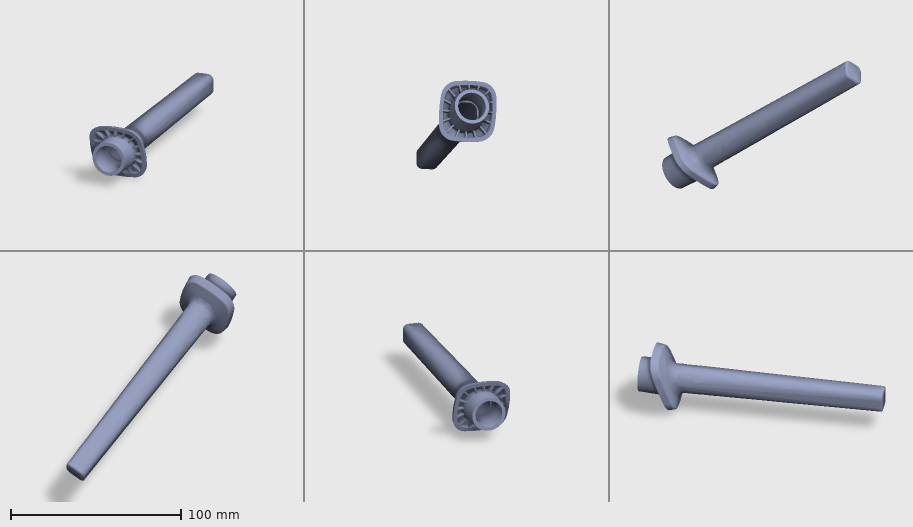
import cadquery as cq
import math

total_length = 145.56

spigot_length = 18.0
spigot_mouth_radius = 10.25
spigot_draft = 0.055
spigot_embed = 1.0
bore_mouth_radius = 8.25
bore_end_radius = 7.6

flange_width = 34.22
flange_corner_radius = 9.5
flange_side_bow = 1.8
flange_tilt = math.radians(20.0)
flange_axis_y = 13.65
flange_band = 4.5
flange_edge_inset = 0.8
flange_edge_fillet = 1.1
crown_slope = 0.36
crown_top_half_width = 6.5

shaft_base_y = 16.0
shaft_base_width = 17.0
shaft_base_corner = 8.2
shaft_tip_width = 12.8
shaft_tip_corner = 3.4
shaft_tip_fillet = 1.2
shaft_root_fillet = 4.0
shaft_root_margin = 1.0

cavity_base_width = 12.8
cavity_base_corner = 5.2
cavity_tip_width = 8.2
cavity_tip_corner = 1.0
cavity_tip_fillet = 0.6
tip_wall = 2.5

rim_wall = 2.35
pocket_roof_thickness = 2.0
rib_count = 16
rib_thickness = 0.9

front_half = flange_width / 2
back_half = front_half - flange_edge_inset
back_corner = flange_corner_radius - flange_edge_inset
back_axis_y = flange_axis_y + flange_band


def y_plane(y):
    """Plane across the part axis, facing +Y."""
    return cq.Plane(origin=(0, y, 0), xDir=(1, 0, 0), normal=(0, 1, 0))


def tilted_plane(axis_y):
    """Plane parallel to the flange that crosses the part axis at axis_y."""
    normal = (0, math.cos(flange_tilt), math.sin(flange_tilt))
    return cq.Plane(origin=(0, axis_y, 0), xDir=(1, 0, 0), normal=normal)


def rounded_square(width, corner):
    return cq.Sketch().rect(width, width).vertices().fillet(corner)


def tapered_square(y_start, width_start, corner_start, y_end, width_end, corner_end):
    """Straight-sided blend between two rounded squares on the part axis."""
    start = rounded_square(width_start, corner_start)
    end = rounded_square(width_end, corner_end)
    end = end.moved(cq.Location(cq.Vector(0, 0, y_end - y_start)))
    return cq.Workplane(y_plane(y_start)).placeSketch(start, end).loft(ruled=True)


def cone_along_y(length, radius_start, radius_end):
    """Cone frustum on the part axis, starting at Y = 0."""
    profile = [(0, 0), (radius_start, 0), (radius_end, length), (0, length)]
    return cq.Workplane("XY").polyline(profile).close().revolve(360, (0, 0), (0, 1))


def spigot_cone():
    """Drafted outside of the spigot, long enough to pass through the flange."""
    length = 2 * spigot_length
    return cone_along_y(length, spigot_mouth_radius, spigot_mouth_radius + spigot_draft * length)


def bowed_prism(half_width, corner):
    """Long prism along Y with gently bowed sides and rounded corners."""
    apex = half_width - flange_side_bow
    return (
        cq.Workplane(y_plane(-total_length))
        .moveTo(-apex, -apex)
        .threePointArc((0, -half_width), (apex, -apex))
        .threePointArc((half_width, 0), (apex, apex))
        .threePointArc((0, half_width), (-apex, apex))
        .threePointArc((-half_width, 0), (-apex, -apex))
        .close()
        .extrude(2 * total_length)
        .edges("|Y")
        .fillet(corner)
    )


def tilted_outline(axis_y, half_width, corner):
    """Outline in a tilted plane whose projection along Y is a bowed square."""
    plane = tilted_plane(axis_y)
    sheet = cq.Face.makePlane(total_length, total_length, plane.origin, plane.zDir)
    section = sheet.intersect(bowed_prism(half_width, corner).val())
    return section.Faces()[0].outerWire()


def tilted_blend(front, back):
    """Solid between two tilted outlines, each given as (axis_y, half_width, corner)."""
    wires = [tilted_outline(*front), tilted_outline(*back)]
    return cq.Workplane(cq.Solid.makeLoft(wires, True))


def crown_y(half_width):
    """Axial position of the crowned back of the flange at a half width."""
    return back_axis_y + crown_slope * (back_half - half_width)


def lies_on_back_plane(edge):
    """True for the edges where the band of the flange meets its crown."""
    tolerance = 0.05
    center = edge.Center()
    return abs(center.y + math.tan(flange_tilt) * center.z - back_axis_y) < tolerance


def make_flange():
    back = (back_axis_y, back_half, back_corner)
    band = tilted_blend((flange_axis_y, front_half, flange_corner_radius), back)
    crown_corner = back_corner * crown_top_half_width / back_half
    crown_top = (crown_y(crown_top_half_width), crown_top_half_width, crown_corner)
    flange = band.union(tilted_blend(back, crown_top))
    rim_edges = [edge for edge in flange.edges().vals() if lies_on_back_plane(edge)]
    return flange.newObject(rim_edges).fillet(flange_edge_fillet)


def make_shaft():
    shaft = tapered_square(
        shaft_base_y, shaft_base_width, shaft_base_corner,
        total_length, shaft_tip_width, shaft_tip_corner,
    )
    return shaft.faces(">Y").edges().fillet(shaft_tip_fillet)


def make_spigot():
    """Outside of the spigot, ending on a tilted plane just inside the flange."""
    end_plane = tilted_plane(flange_axis_y + spigot_embed)
    beyond = cq.Workplane(end_plane).rect(total_length, total_length).extrude(total_length)
    return spigot_cone().cut(beyond)


def fillet_shaft_root(body):
    """Round the edge where the shaft rises from the crown of the flange."""
    reach = shaft_base_width / 2 + shaft_root_margin
    y_low = shaft_base_y + shaft_root_margin
    y_high = y_low + spigot_length
    box = cq.selectors.BoxSelector((-reach, y_low, -reach), (reach, y_high, reach))
    return body.edges(box).fillet(shaft_root_fillet)


def make_pockets():
    """Recess under the crown around the spigot, split into pockets by radial ribs."""
    roof_half = back_half - rim_wall
    roof_corner = back_corner - rim_wall
    roof_edge = (crown_y(roof_half) - pocket_roof_thickness, roof_half, roof_corner)
    roof_top = (
        crown_y(crown_top_half_width) - pocket_roof_thickness,
        crown_top_half_width,
        roof_corner * crown_top_half_width / roof_half,
    )
    mouth = (flange_axis_y, front_half - rim_wall, flange_corner_radius - rim_wall)
    recess = tilted_blend(mouth, roof_edge).union(tilted_blend(roof_edge, roof_top))
    pockets = recess.cut(spigot_cone())
    for index in range(rib_count // 2):
        rib_pair = cq.Workplane("XY").box(2 * flange_width, total_length, rib_thickness)
        pockets = pockets.cut(rib_pair.rotate((0, 0, 0), (0, 1, 0), index * 360 / rib_count))
    return pockets


def make_cavity():
    """Round spigot bore followed by the squarer blind cavity of the shaft."""
    bore = cone_along_y(spigot_length, bore_mouth_radius, bore_end_radius)
    core = tapered_square(
        spigot_length, cavity_base_width, cavity_base_corner,
        total_length - tip_wall, cavity_tip_width, cavity_tip_corner,
    )
    core = core.faces(">Y").edges().fillet(cavity_tip_fillet)
    return bore.union(core)


body = make_flange().union(make_shaft()).union(make_spigot())
body = fillet_shaft_root(body)
result = body.cut(make_pockets()).cut(make_cavity()).solids()